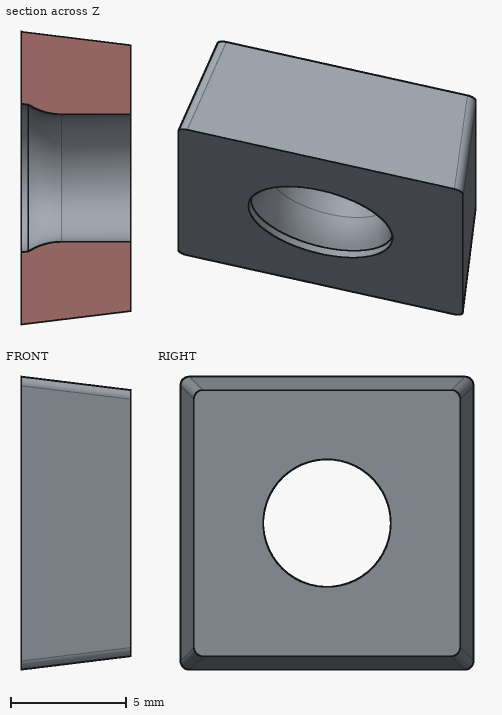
import cadquery as cq

side = 12.7
thickness = 4.76
clearance_angle = 7.0
corner_radius = 0.4

bore_radius = 2.75
lip_inner_radius = 3.18
mouth_radius = 3.21
lip_depth = 0.32
seat_end_depth = 1.74


def tapered_body():
    """Square block narrowing toward +X, with its four slanted edges rounded."""
    block = cq.Workplane("YZ").rect(side, side).extrude(thickness, taper=clearance_angle)
    return block.edges("not(#X)").fillet(corner_radius)


def screw_hole():
    """Hole volume revolved about X; the convex seat arc runs tangent into the bore."""
    seat_length = seat_end_depth - lip_depth
    seat_drop = lip_inner_radius - bore_radius
    seat_arc_radius = (seat_length**2 + seat_drop**2) / (2 * seat_drop)
    middle_depth = lip_depth + seat_length / 2
    middle_offset = (seat_arc_radius**2 - (seat_length / 2) ** 2) ** 0.5
    middle_radius = bore_radius + seat_arc_radius - middle_offset
    return (
        cq.Workplane("XY")
        .moveTo(0, 0)
        .lineTo(0, mouth_radius)
        .lineTo(lip_depth, lip_inner_radius)
        .threePointArc((middle_depth, middle_radius), (seat_end_depth, bore_radius))
        .lineTo(thickness, bore_radius)
        .lineTo(thickness, 0)
        .close()
        .revolve(360, (0, 0, 0), (1, 0, 0))
    )


result = tapered_body().cut(screw_hole())